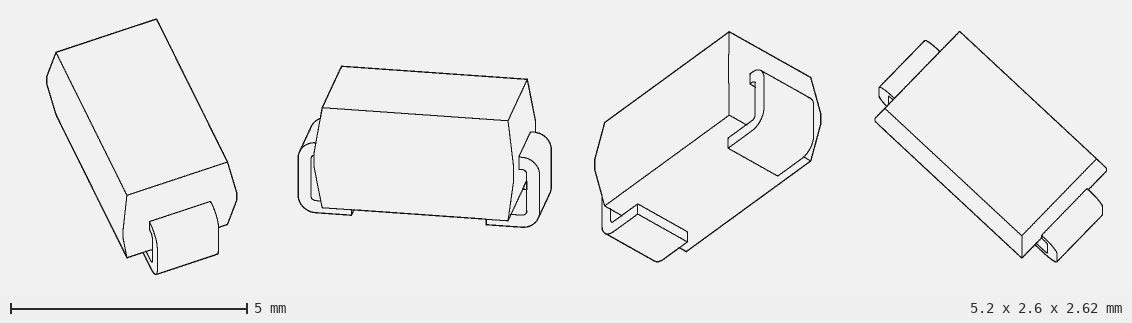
import cadquery as cq

body_length = 4.3
body_width = 2.6
draft_inset = 0.15
overall_height = 2.62
standoff = 0.32

lead_span = 5.2
lead_width = 1.4
lead_thickness = 0.28
foot_length = 1.15
inner_bend_radius = 0.1
outer_bend_radius = inner_bend_radius + lead_thickness

parting_level = (overall_height + standoff) / 2
band_top = parting_level + lead_thickness / 2
band_bottom = parting_level - lead_thickness / 2


def tapered_half(band_level, end_level):
    """Loft from the full outline at the band to the smaller end face."""
    return (
        cq.Workplane("XY")
        .workplane(offset=band_level)
        .rect(body_length, body_width)
        .workplane(offset=end_level - band_level)
        .rect(body_length - 2 * draft_inset, body_width - 2 * draft_inset)
        .loft(ruled=True)
    )


def make_body():
    """Package with a straight band between two drafted halves."""
    band = (
        cq.Workplane("XY")
        .workplane(offset=band_bottom)
        .rect(body_length, body_width)
        .extrude(band_top - band_bottom)
    )
    upper_half = tapered_half(band_top, overall_height)
    lower_half = tapered_half(band_bottom, standoff)
    return band.union(upper_half).union(lower_half)


def make_lead():
    """C-shaped strip on the -X end: top arm, upright and foot."""
    outer_x = -lead_span / 2
    inner_x = outer_x + lead_thickness
    arm_end_x = -body_length / 2
    foot_end_x = outer_x + foot_length
    return (
        cq.Workplane("XZ")
        .moveTo(arm_end_x, band_top)
        .lineTo(outer_x + outer_bend_radius, band_top)
        .radiusArc((outer_x, band_top - outer_bend_radius), -outer_bend_radius)
        .lineTo(outer_x, outer_bend_radius)
        .radiusArc((outer_x + outer_bend_radius, 0), -outer_bend_radius)
        .lineTo(foot_end_x, 0)
        .lineTo(foot_end_x, lead_thickness)
        .lineTo(inner_x + inner_bend_radius, lead_thickness)
        .radiusArc((inner_x, lead_thickness + inner_bend_radius), inner_bend_radius)
        .lineTo(inner_x, band_bottom - inner_bend_radius)
        .radiusArc((inner_x + inner_bend_radius, band_bottom), inner_bend_radius)
        .lineTo(arm_end_x, band_bottom)
        .close()
        .extrude(lead_width / 2, both=True)
    )


body = make_body()

leads = []
for turn in (0, 180):
    leads.append(make_lead().rotate((0, 0, 0), (0, 0, 1), turn).val())

result = cq.Compound.makeCompound([body.val(), *leads])